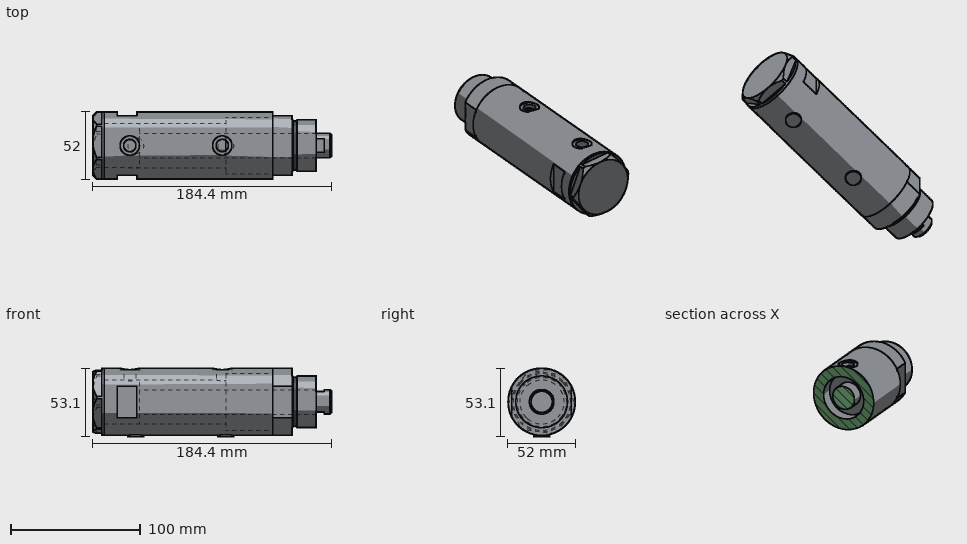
import cadquery as cq

body_radius = 26.0
bore_radius = 17.0
rod_radius = 9.5
wrench_flat_offset = 23.0
wrench_flat_length = 15.0

cap_hex_end = 7.0
housing_start = 9.0
housing_flat_start = 19.0
housing_end = 139.0
gland_shoulder = housing_end + wrench_flat_length
neck_end = 172.5
rod_end = 184.4

hex_across_flats = 46.0
hex_turn = 22.5
cap_face_radius = 23.0
cap_chamfer = body_radius - cap_face_radius
cap_spigot_end = 36.0

neck_radius = 20.0
relief_depth = 1.0
relief_length = 4.0
gland_spigot_start = 102.5
gland_spigot_radius = 22.0

rod_flat_offset = 8.0
rod_flat_end = 178.7
rod_chamfer = 1.3

port_positions = [28.6, 100.0]
port_radius = 4.75
spotface_radius = 7.5
spotface_height = 24.8
boss_positions = [33.1, 102.6]
boss_radius = 6.1
boss_bottom = -27.1


def cylinder(start, end, radius):
    """A solid cylinder on the X axis between two stations."""
    return cq.Workplane("YZ").workplane(offset=start).circle(radius).extrude(end - start)


def wrench_flat_cutter(start, end, offset):
    """Two blocks, on the +Y and -Y sides, that leave parallel flats at the given distance from the axis."""
    depth = body_radius
    middle = offset + depth / 2
    return (
        cq.Workplane("XY")
        .pushPoints([((start + end) / 2, middle), ((start + end) / 2, -middle)])
        .box(end - start, depth, 2 * body_radius)
    )


def make_cap():
    """Chamfered hexagon head, round collar and the spigot that closes the bore."""
    hex_head = (
        cq.Workplane("YZ")
        .transformed(rotate=(0, 0, hex_turn))
        .polygon(6, hex_across_flats, circumscribed=True)
        .extrude(cap_hex_end)
    )
    chamfered_round = cylinder(0, cap_hex_end, body_radius).faces("<X").chamfer(cap_chamfer)
    collar = cylinder(cap_hex_end, housing_start, body_radius)
    spigot = cylinder(housing_start, cap_spigot_end, bore_radius)
    return hex_head.intersect(chamfered_round).union(collar).union(spigot)


def make_housing():
    """Stepped tube with two flats, two spotfaced ports on top and two bosses underneath."""
    housing = cylinder(housing_start, housing_end, body_radius)
    for position in boss_positions:
        boss = (
            cq.Workplane("XY")
            .workplane(offset=boss_bottom)
            .center(position, 0)
            .circle(boss_radius)
            .extrude(-boss_bottom)
        )
        housing = housing.union(boss)
    housing = housing.cut(cylinder(housing_start, gland_spigot_start, bore_radius))
    housing = housing.cut(cylinder(gland_spigot_start, housing_end, gland_spigot_radius))
    for position in port_positions:
        spotface_plane = cq.Workplane("XY").workplane(offset=spotface_height).center(position, 0)
        housing = housing.cut(spotface_plane.circle(spotface_radius).extrude(body_radius))
        housing = housing.cut(spotface_plane.circle(port_radius).extrude(-spotface_height))
    housing_flat_end = housing_flat_start + wrench_flat_length
    return housing.cut(wrench_flat_cutter(housing_flat_start, housing_flat_end, wrench_flat_offset))


def make_gland():
    """Rod guide: spigot in the bore, flange with two flats, and a neck with a relief groove."""
    relief_radius = neck_radius - relief_depth
    relief_end = gland_shoulder + relief_length
    profile = [
        (gland_spigot_start, rod_radius),
        (gland_spigot_start, gland_spigot_radius),
        (housing_end, gland_spigot_radius),
        (housing_end, body_radius),
        (gland_shoulder, body_radius),
        (gland_shoulder, neck_radius),
        (gland_shoulder + relief_depth, relief_radius),
        (relief_end - relief_depth, relief_radius),
        (relief_end, neck_radius),
        (neck_end, neck_radius),
        (neck_end, rod_radius),
    ]
    gland = cq.Workplane("XY").polyline(profile).close().revolve(360, (0, 0, 0), (1, 0, 0))
    return gland.cut(wrench_flat_cutter(housing_end, gland_shoulder, wrench_flat_offset))


def make_rod():
    """Round rod with a chamfered tip and two flats, on the top and bottom, next to the gland."""
    rod = cylinder(cap_spigot_end, rod_end, rod_radius).faces(">X").chamfer(rod_chamfer)
    flats = wrench_flat_cutter(neck_end, rod_flat_end, rod_flat_offset)
    return rod.cut(flats.rotate((0, 0, 0), (1, 0, 0), 90))


cap = make_cap().solids()
housing = make_housing().solids()
gland = make_gland().solids()
rod = make_rod().solids()

result = cq.Compound.makeCompound([cap.val(), housing.val(), gland.val(), rod.val()])